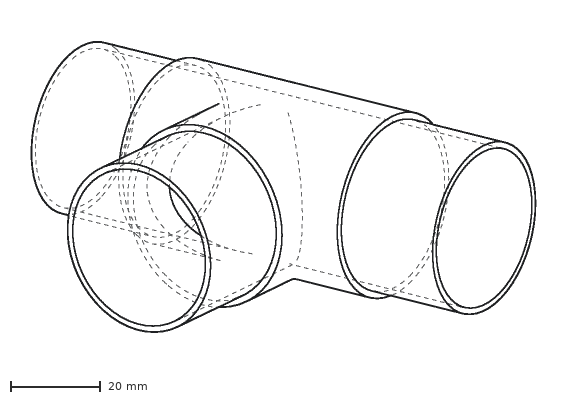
import cadquery as cq


body_diameter = 42.4
spigot_diameter = 39.27
bore_diameter = 36.4

run_length = 110.0
body_length = 60.0

branch_reach = 55.02
collar_reach = 30.0

crotch_radius = 2.0


def run_cylinder(diameter, length):
    """Cylinder along X, centred on the tee centre."""
    return cq.Workplane("YZ").circle(diameter / 2).extrude(length / 2, both=True)


def branch_cylinder(diameter, reach):
    """Cylinder from the tee centre towards -Y."""
    return cq.Workplane("XZ").circle(diameter / 2).extrude(reach)


def tee_body():
    """Large run and branch cylinders, filleted along the elliptical joint between them."""
    body = run_cylinder(body_diameter, body_length).union(branch_cylinder(body_diameter, collar_reach))
    return body.edges("%ELLIPSE").fillet(crotch_radius)


def spigots():
    """Reduced cylinders that stick out of all three ends of the body."""
    return run_cylinder(spigot_diameter, run_length).union(branch_cylinder(spigot_diameter, branch_reach))


def bores():
    """Through bore of the run joined to the bore of the branch."""
    return run_cylinder(bore_diameter, run_length).union(branch_cylinder(bore_diameter, branch_reach))


result = tee_body().union(spigots()).cut(bores())